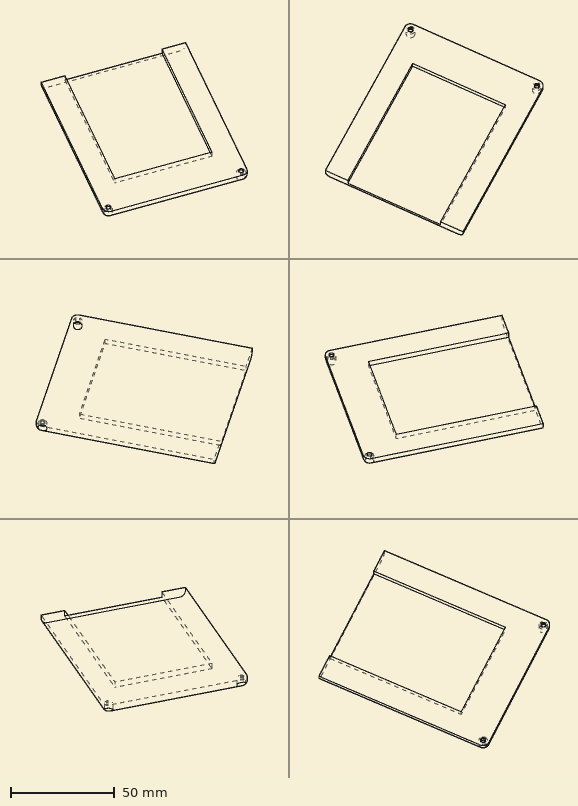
import cadquery as cq

length = 89.0
width = 74.0
thickness = 5.0
edge_radius = 3.0

pocket_length = 70.0
pocket_width = 49.75
pocket_depth = 3.0

hole_diameter = 2.4
head_diameter = 4.2
head_depth = 4.0


def make_plate():
    plate = cq.Workplane("XY").box(length, width, thickness, centered=(False, True, False))
    plate = plate.edges("|Z and >X").fillet(edge_radius)
    return plate.faces("<Z").edges("not <X").fillet(edge_radius)


def make_pocket():
    return (
        cq.Workplane("XY")
        .workplane(offset=thickness - pocket_depth)
        .rect(2 * pocket_length, pocket_width)
        .extrude(pocket_depth)
    )


def make_screw_hole(x, y):
    shank = cq.Workplane("XY").center(x, y).circle(hole_diameter / 2).extrude(thickness)
    head = cq.Workplane("XY").center(x, y).circle(head_diameter / 2).extrude(head_depth)
    return shank.union(head)


result = make_plate().cut(make_pocket())
hole_x = length - edge_radius
for side in (-1, 1):
    hole_y = side * (width / 2 - edge_radius)
    result = result.cut(make_screw_hole(hole_x, hole_y))